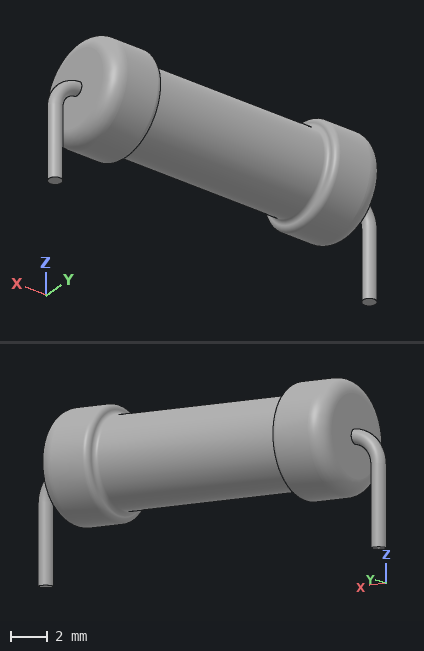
import cadquery as cq


body_length = 18.5
cap_diameter = 6.6
barrel_diameter = 5.3
cap_length = 3.35
cap_end_radius = 0.94
cap_shoulder_radius = 0.34
barrel_root_radius = 0.27

lead_diameter = 0.85
lead_pitch = 21.5
bend_radius = 2 * lead_diameter
lead_drop = 6.3

lead_x = lead_pitch / 2
barrel_length = body_length - 2 * cap_length
cap_radius = cap_diameter / 2
barrel_radius = barrel_diameter / 2


def make_body():
    """Barrel with a larger cap at each end, rounded at every step."""
    body = (
        cq.Workplane("YZ", origin=(-body_length / 2, 0, 0))
        .circle(cap_radius)
        .extrude(body_length)
    )
    barrel_recess = (
        cq.Workplane("YZ", origin=(-barrel_length / 2, 0, 0))
        .circle(cap_radius)
        .circle(barrel_radius)
        .extrude(barrel_length)
    )
    body = body.cut(barrel_recess)

    for inner_face in ("<X[1]", ">X[1]"):
        body = body.faces(inner_face).edges(cq.selectors.RadiusNthSelector(1)).fillet(cap_shoulder_radius)
        body = body.faces(inner_face).edges(cq.selectors.RadiusNthSelector(0)).fillet(barrel_root_radius)

    return body.faces("<X or >X").edges().fillet(cap_end_radius)


def make_lead(side):
    """Round wire at the -X (side = -1) or +X (side = +1) end, bent from the body axis into a leg."""
    leg = (
        cq.Workplane("XY", origin=(side * lead_x, 0, -lead_drop))
        .circle(lead_diameter / 2)
        .extrude(lead_drop - bend_radius)
    )
    bend = (
        cq.Workplane("XY", origin=(side * lead_x, 0, -bend_radius))
        .circle(lead_diameter / 2)
        .revolve(90, (-side * bend_radius, 0, 0), (-side * bend_radius, -side, 0))
    )
    return leg.union(bend)


leads = [make_lead(side) for side in (-1, 1)]

body = make_body()
for lead in leads:
    body = body.cut(lead)

result = cq.Compound.makeCompound([body.val(), *[lead.val() for lead in leads]])